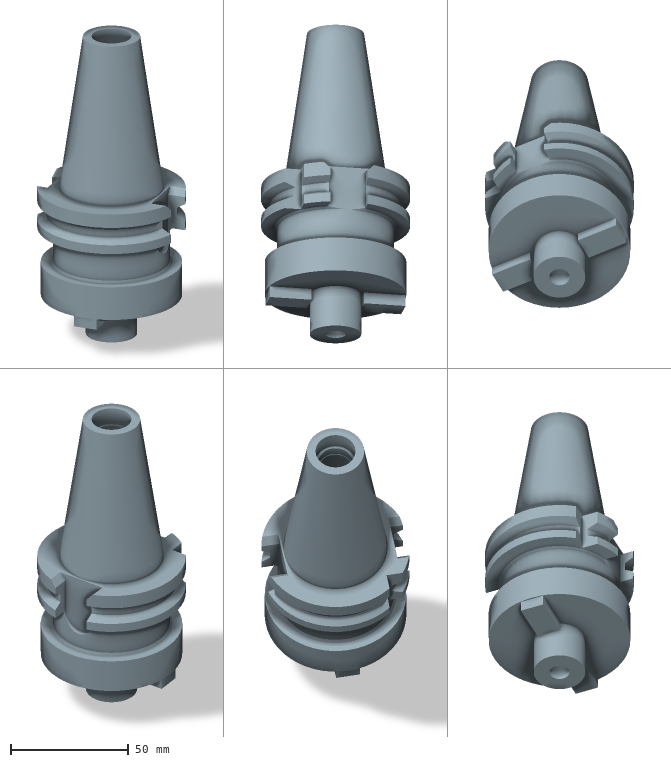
import cadquery as cq
import math

gauge_diameter = 44.45
taper_length = 68.4
taper_ratio = 7 / 24
taper_top_diameter = gauge_diameter - taper_ratio * taper_length

flange_diameter = 63.55
flange_top = -1.0
flange_bottom = -19.1
groove_center = -11.1
groove_diameter = 56.25
groove_floor_width = 3.75
groove_flank_angle = 30.0

neck_diameter = 50.0
neck_chamfer = 1.0
head_diameter = 60.5
head_top = -35.0
head_bottom = -50.0

pilot_diameter = 22.0
pilot_bottom = -68.0
key_width = 10.4
key_height = 4.9
key_inner_reach = 11.4
key_outer_reach = 29.5

slot_width = 16.1
slot_chamfer = 2.9
slot_end_center = flange_bottom
negative_slot_floor = 25.0
positive_slot_floor = 22.8

notch_offset = 18.7

bore_steps = [
    (17.0, taper_length - 8.0),
    (14.8, taper_length - 12.0),
    (14.0, taper_length - 40.0),
    (12.4, taper_length - 50.0),
    (8.7, pilot_bottom),
]


def revolved_body():
    """Taper, grooved flange, neck, head and pilot as one revolved outline."""
    flange_r = flange_diameter / 2
    groove_r = groove_diameter / 2
    neck_r = neck_diameter / 2
    half_floor = groove_floor_width / 2
    half_mouth = half_floor + (flange_r - groove_r) * math.tan(math.radians(groove_flank_angle))
    outline = [
        (0, taper_length),
        (taper_top_diameter / 2, taper_length),
        (gauge_diameter / 2, 0),
        (gauge_diameter / 2, flange_top),
        (flange_r, flange_top),
        (flange_r, groove_center + half_mouth),
        (groove_r, groove_center + half_floor),
        (groove_r, groove_center - half_floor),
        (flange_r, groove_center - half_mouth),
        (flange_r, flange_bottom),
        (neck_r + neck_chamfer, flange_bottom),
        (neck_r, flange_bottom - neck_chamfer),
        (neck_r, head_top + neck_chamfer),
        (neck_r + neck_chamfer, head_top),
        (head_diameter / 2, head_top),
        (head_diameter / 2, head_bottom),
        (pilot_diameter / 2, head_bottom),
        (pilot_diameter / 2, pilot_bottom),
        (0, pilot_bottom),
    ]
    return cq.Workplane("YZ").polyline(outline).close().revolve(360, (0, 0), (0, 1))


def drive_slot(side, floor_distance):
    """Cutter for a drive slot on the +X (side = 1) or -X (side = -1) edge of the flange."""
    half_width = slot_width / 2
    half_mouth = half_width + slot_chamfer
    return (
        cq.Workplane("YZ", origin=(side * floor_distance, 0, 0))
        .moveTo(-half_mouth, flange_top)
        .lineTo(-half_width, flange_top - slot_chamfer)
        .lineTo(-half_width, slot_end_center)
        .threePointArc((0, slot_end_center - half_width), (half_width, slot_end_center))
        .lineTo(half_width, flange_top - slot_chamfer)
        .lineTo(half_mouth, flange_top)
        .close()
        .extrude(side * flange_diameter / 2)
    )


def orientation_notch():
    """Cutter that squares off one quadrant of the flange over its full thickness."""
    size = flange_diameter / 2
    thickness = flange_top - flange_bottom
    block = cq.Workplane("XY").box(size, size, thickness, centered=False)
    return block.translate((-notch_offset - size, notch_offset, flange_bottom))


def drive_key(side):
    """Rectangular key below the head on the +Y (side = 1) or -Y (side = -1) half."""
    length = key_outer_reach - key_inner_reach
    center_y = side * (key_inner_reach + length / 2)
    return (
        cq.Workplane("XY", origin=(0, center_y, head_bottom))
        .rect(key_width, length)
        .extrude(-key_height)
    )


def stepped_bore():
    """Coaxial cylinders, each reaching from the taper end down to its own depth."""
    bore = cq.Workplane("XY")
    for diameter, lower_end in bore_steps:
        depth = taper_length - lower_end
        step = cq.Workplane("XY", origin=(0, 0, taper_length)).circle(diameter / 2).extrude(-depth)
        bore = bore.union(step)
    return bore


result = revolved_body()
for key_side in (1, -1):
    result = result.union(drive_key(key_side))
result = result.cut(drive_slot(1, positive_slot_floor))
result = result.cut(drive_slot(-1, negative_slot_floor))
result = result.cut(orientation_notch())
result = result.cut(stepped_bore())